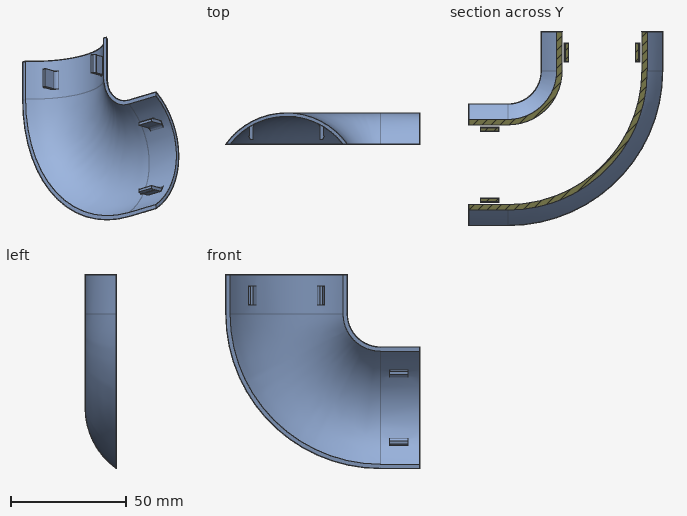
import cadquery as cq
import math

OVERALL = 84.0
HEIGHT = 13.6
CHORD = 52.7
WALL = 1.5
ARM_LENGTH = 17.05

CLIP_LENGTH = 8.1
CLIP_END_GAP = 5.0
CLIP_THICKNESS = 1.5
CLIP_OFFSET = 14.45
CLIP_FREE_Y = 2.1
BARB_Y = 3.45
BARB_REACH = 0.4
BARB_RISE = 0.25
TIP_SETBACK = 0.3
ROOT_FILLET = 2.0

outer_radius = ((CHORD / 2) ** 2 + HEIGHT**2) / (2 * HEIGHT)
inner_radius = outer_radius - WALL
arc_centre_y = HEIGHT - outer_radius
inner_half_chord = math.sqrt(inner_radius**2 - arc_centre_y**2)
channel_x = ARM_LENGTH + CHORD / 2 - OVERALL


def channel_section():
    """Wall section in the XY plane, placed beside the bend axis."""
    return (
        cq.Workplane("XY")
        .moveTo(channel_x - CHORD / 2, 0)
        .threePointArc((channel_x, HEIGHT), (channel_x + CHORD / 2, 0))
        .lineTo(channel_x + inner_half_chord, 0)
        .threePointArc((channel_x, HEIGHT - WALL), (channel_x - inner_half_chord, 0))
        .close()
    )


def clip():
    """Clip on the +X side of the +Z arm's centre plane."""
    inner_x = CLIP_OFFSET
    outer_x = inner_x + CLIP_THICKNESS
    root_radius = inner_radius + WALL / 2

    def root_y(x):
        return arc_centre_y + math.sqrt(root_radius**2 - x**2)

    fillet_x = inner_x - ROOT_FILLET
    centre_distance = inner_radius - ROOT_FILLET
    centre_rise = math.sqrt(centre_distance**2 - fillet_x**2)
    fillet_y = arc_centre_y + centre_rise
    wall_angle = math.atan2(centre_rise, fillet_x)

    def on_fillet(angle):
        return (fillet_x + ROOT_FILLET * math.cos(angle), fillet_y + ROOT_FILLET * math.sin(angle))

    wall_touch = on_fillet(wall_angle)
    profile = (
        cq.Workplane("XY", origin=(channel_x, 0, ARM_LENGTH - CLIP_END_GAP - CLIP_LENGTH))
        .moveTo(inner_x, CLIP_FREE_Y)
        .lineTo(outer_x - TIP_SETBACK, CLIP_FREE_Y)
        .lineTo(outer_x + BARB_REACH, BARB_Y)
        .lineTo(outer_x, BARB_Y + BARB_RISE)
        .lineTo(outer_x, root_y(outer_x))
        .lineTo(wall_touch[0], root_y(wall_touch[0]))
        .lineTo(*wall_touch)
        .threePointArc(on_fillet(wall_angle / 2), (inner_x, fillet_y))
        .close()
    )
    return profile.extrude(CLIP_LENGTH)


def arm():
    """Straight run along +Z with its pair of clips, barbs facing outwards."""
    right_clip = clip()
    left_clip = right_clip.mirror("YZ", (channel_x, 0, 0))
    return channel_section().extrude(ARM_LENGTH).union(right_clip).union(left_clip)


bend = channel_section().revolve(90, (0, 0, 0), (0, -1, 0))
top_arm = arm()
side_arm = top_arm.mirror("XY").rotate((0, 0, 0), (0, 1, 0), -90)

result = bend.union(top_arm).union(side_arm)